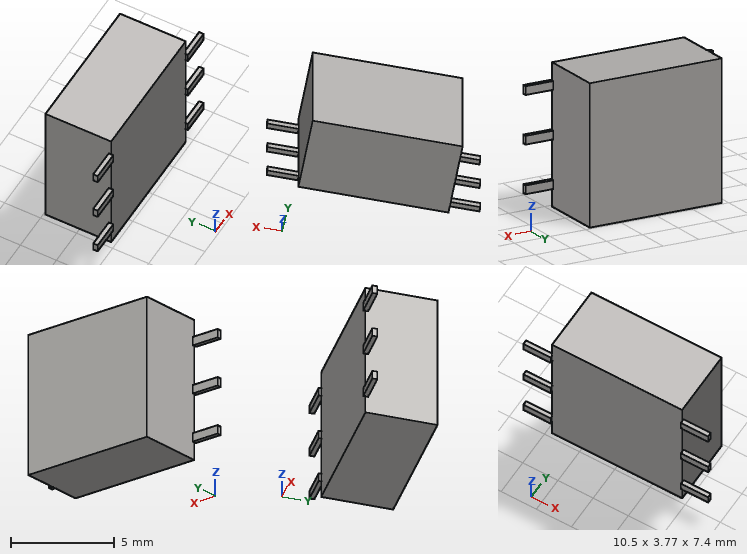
import cadquery as cq

body_side = 7.4
body_depth = 3.65

span = 10.5
overall_depth = 3.77
lead_count = 3
lead_pitch = 2.54
lead_width = 0.45
lead_thickness = 0.25

lead_length = (span - body_side) / 2
lead_center_x = (body_side + lead_length) / 2
lead_center_y = body_depth / 2 - overall_depth + lead_thickness / 2


def make_body():
    return cq.Workplane("XY").box(body_side, body_depth, body_side)


def make_lead(side, z):
    """One lead on the given X side (-1 or +1), centred at height z."""
    lead = cq.Workplane("XY").box(lead_length, lead_thickness, lead_width)
    return lead.translate((side * lead_center_x, lead_center_y, z))


result = make_body()
for row in range(lead_count):
    row_z = (row - (lead_count - 1) / 2) * lead_pitch
    for side in (-1, 1):
        result = result.union(make_lead(side, row_z))